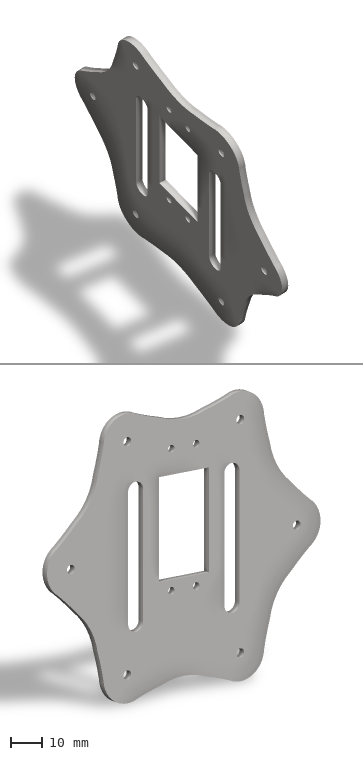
import cadquery as cq
import math

length = 109.0
thickness = 2.5
lobe_count = 6
lobe_step = 360.0 / lobe_count
bolt_circle_radius = 45.0
lobe_radius = length / 2 - bolt_circle_radius
bolt_hole_diameter = 3.0

edge_middle_height = 43.0
hollow_half_width = 8.4
hollow_depth = 1.5
flank_end = 18.2
flank_depth = 0.13
hollow_end_height = edge_middle_height + hollow_depth

window_width = 20.0
window_height = 35.1
window_center_z = 7.5
mount_hole_diameter = 2.5
mount_spacing_x = 9.9
mount_spacing_z = 47.5
mount_center_z = 10.0

slot_spacing = 38.4
slot_length = 50.1
slot_width = 6.0


def rotated(point, degrees):
    """Turn a point about the plate center, counterclockwise."""
    x, z = point
    turn = math.radians(degrees)
    return (
        x * math.cos(turn) - z * math.sin(turn),
        x * math.sin(turn) + z * math.cos(turn),
    )


def plate_body():
    lobe_x = bolt_circle_radius * math.sin(math.radians(lobe_step / 2))
    lobe_z = bolt_circle_radius * math.cos(math.radians(lobe_step / 2))
    flank_end_height = lobe_z + math.sqrt(lobe_radius**2 - (lobe_x - flank_end) ** 2)

    run = flank_end - hollow_half_width
    rise = flank_end_height - hollow_end_height
    chord = math.hypot(run, rise)
    flank_mid_x = hollow_half_width + run / 2 + flank_depth * rise / chord
    flank_mid_z = hollow_end_height + rise / 2 - flank_depth * run / chord

    arcs = [
        ((flank_mid_x, flank_mid_z), (hollow_half_width, hollow_end_height)),
        ((0, edge_middle_height), (-hollow_half_width, hollow_end_height)),
        ((-flank_mid_x, flank_mid_z), (-flank_end, flank_end_height)),
        (
            rotated((0, bolt_circle_radius + lobe_radius), lobe_step / 2),
            rotated((flank_end, flank_end_height), lobe_step),
        ),
    ]
    outline = cq.Workplane("XZ").moveTo(flank_end, flank_end_height)
    for side in range(lobe_count):
        for middle, end in arcs:
            turn = side * lobe_step
            outline = outline.threePointArc(rotated(middle, turn), rotated(end, turn))
    return outline.close().extrude(thickness / 2, both=True)


def bolt_holes():
    return (
        cq.Workplane("XZ")
        .polarArray(bolt_circle_radius, 0, 360, lobe_count, rotate=False)
        .circle(bolt_hole_diameter / 2)
        .extrude(thickness, both=True)
    )


def window():
    return (
        cq.Workplane("XZ")
        .center(0, window_center_z)
        .rect(window_width, window_height)
        .extrude(thickness, both=True)
    )


def mount_holes():
    return (
        cq.Workplane("XZ")
        .center(0, mount_center_z)
        .rarray(mount_spacing_x, mount_spacing_z, 2, 2)
        .circle(mount_hole_diameter / 2)
        .extrude(thickness, both=True)
    )


def slots():
    return (
        cq.Workplane("XZ")
        .pushPoints([(-slot_spacing / 2, 0), (slot_spacing / 2, 0)])
        .slot2D(slot_length, slot_width, 90)
        .extrude(thickness, both=True)
    )


result = plate_body().cut(bolt_holes()).cut(window()).cut(mount_holes()).cut(slots())